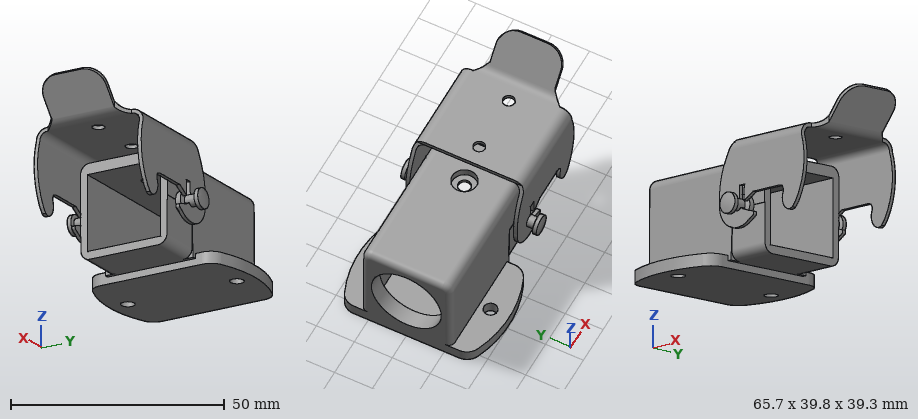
import cadquery as cq
import math


flange_length = 28.0
flange_width = 39.8
flange_thickness = 3.0
flange_side_radius = 30.05
flange_corner_radius = 4.0
flange_hole_offset_y = 14.9
flange_hole_diameter = 3.4

hood_length_bottom = 29.0
hood_length_axis = 29.45
housing_length = 40.4
housing_bottom = 1.8
housing_top = 25.75
hood_width_bottom = 24.0
hood_width_top = 23.7
plug_width_axis = 23.7
plug_width_bottom = 23.5
long_edge_radius = 2.4
front_edge_radius = 1.65
axis_height = (housing_bottom + housing_top) / 2

entry_diameter = 18.4
front_wall = 4.3
cavity_width = 20.0
cavity_bottom = 3.8
cavity_top = 23

screw_x = 29.45
screw_head_diameter = 6.4
screw_head_depth = 2
screw_hole_diameter = 3.3

sheet = 1.0
lever_top = 30.2
lever_half_width_top = 14.6
lever_half_width_bottom = 14.8
lever_bottom = 8.3
lever_bend_radius = 2.95
lever_rear = 55.85
lever_front_top = 32.1
lever_step_height = 16.1
front_edge_low = (30.2, 25.75)
front_edge_end = (28.0, 15.1)
pivot_end_bulge = (29.8, 10.05)
nose_start = (36.95, 8.9)
nose_lower = (39.4, 10.4)
nose_upper = (39.2, 11.45)
nose_tip_x = 39.7
notch_lower = (36.0, 12.4)
notch_upper = (36.35, 14.3)
notch_mouth_x = 39.5
hook_throat_x = 48.4
hook_throat_end = (49.8, 14.3)
hook_inside = (49.55, 12.0)
hook_tip_front = (50.9, 10.1)
hook_tip_rear = (53.0, 10.1)
hook_bottom = 9.8
hook_outside = (54.0, 11.4)
rear_edge_bulge = (56.7, 19.2)

lever_hole_diameter = 3.0
lever_hole_positions = (36.95, 51.9)

slit_width = 1.65
slit_right = 36.4
slit_top = 18.35

tab_end_x = 65.7
tab_end_z = 39.3
tab_angle = math.radians(50)
tab_bend_radius = 3.0
tab_width = 17.1
tab_root_width = 22.9
tab_taper_end = 58.8
tab_corner_radius = 5.0

pivot_x = 34.05
pin_radius = 1.5
boss_radius = 2.7
boss_end = 13.2
boss_taper_end = 13.6
head_radius = 2.55
head_start = 16.6
head_rim_start = 16.8
head_rim_end = 17.9
head_end = 18.2
head_underside_radius = 1.85


def box(x_min, x_max, width, z_min, z_max):
    """Block centred on Y = 0."""
    size = (x_max - x_min, width, z_max - z_min)
    return cq.Workplane("XY").box(*size, centered=(False, True, False)).translate((x_min, 0, z_min))


def vertical_cylinder(x, y, diameter, z_min, z_max):
    return cq.Workplane("XY", origin=(x, y, z_min)).circle(diameter / 2).extrude(z_max - z_min)


def make_flange():
    """Base plate with two bulged sides, rounded corners and a mounting hole on each side."""
    middle = flange_length / 2
    bulge = flange_side_radius - math.sqrt(flange_side_radius**2 - middle**2)
    half_width = flange_width / 2
    corner_y = half_width - bulge
    plate = (
        cq.Workplane("XY")
        .moveTo(0, -corner_y)
        .threePointArc((middle, -half_width), (flange_length, -corner_y))
        .lineTo(flange_length, corner_y)
        .threePointArc((middle, half_width), (0, corner_y))
        .close()
        .extrude(flange_thickness)
        .edges("|Z")
        .fillet(flange_corner_radius)
    )
    for side in (-1, 1):
        hole_y = side * flange_hole_offset_y
        plate = plate.cut(vertical_cylinder(middle, hole_y, flange_hole_diameter, 0, flange_thickness))
    return plate


def make_hood():
    """Tapered cover with a rounded top, cut away below the axis to leave room for the plug."""
    bottom = hood_width_bottom / 2
    top = hood_width_top / 2
    cover = (
        cq.Workplane("YZ")
        .polyline([
            (-bottom, housing_bottom),
            (bottom, housing_bottom),
            (top, housing_top),
            (-top, housing_top),
        ])
        .close()
        .extrude(housing_length)
        .edges("|X and >Z")
        .fillet(long_edge_radius)
        .faces("<X")
        .edges("not <Z")
        .fillet(front_edge_radius)
    )
    lower_rear = (
        cq.Workplane("XZ")
        .polyline([
            (hood_length_bottom, housing_bottom),
            (hood_length_axis, axis_height),
            (housing_length, axis_height),
            (housing_length, housing_bottom),
        ])
        .close()
        .extrude(hood_width_bottom / 2, both=True)
    )
    return cover.cut(lower_rear)


def make_plug():
    """Lower rear part of the housing, narrowing downwards and rounded along its bottom edges."""
    top = plug_width_axis / 2
    bottom = plug_width_bottom / 2
    return (
        cq.Workplane("YZ", origin=(front_wall, 0, 0))
        .polyline([
            (-bottom, housing_bottom),
            (bottom, housing_bottom),
            (top, axis_height),
            (-top, axis_height),
        ])
        .close()
        .extrude(housing_length - front_wall)
        .edges("|X and <Z")
        .fillet(long_edge_radius)
    )


def make_housing():
    """Flange, hood and plug, hollowed from the cable entry to the open rear."""
    housing = make_flange().union(make_hood()).union(make_plug())
    entry = (
        cq.Workplane("YZ")
        .center(0, axis_height)
        .circle(entry_diameter / 2)
        .extrude(housing_length)
    )
    cavity = box(front_wall, housing_length, cavity_width, cavity_bottom, cavity_top)
    screw_head = vertical_cylinder(
        screw_x, 0, screw_head_diameter, housing_top - screw_head_depth, housing_top
    )
    screw_hole = vertical_cylinder(screw_x, 0, screw_hole_diameter, axis_height, housing_top)
    return housing.cut(entry).cut(cavity).cut(screw_head).cut(screw_hole)


def lever_section(inset):
    """Channel section of the lever, shrunk by inset, running through the lever's length."""
    top = lever_half_width_top - inset
    bottom = lever_half_width_bottom - inset
    return (
        cq.Workplane("YZ")
        .polyline([
            (-bottom, lever_bottom),
            (bottom, lever_bottom),
            (top, lever_top - inset),
            (-top, lever_top - inset),
        ])
        .close()
        .extrude(tab_end_x)
        .edges("|X and >Z")
        .fillet(lever_bend_radius - inset)
    )


def make_lever_side():
    """Side outline of the lever: front edge, pivot end, notch, straight lower edge and rear hook."""
    pivot = (pivot_x, axis_height)
    nose_middle = (nose_tip_x, (nose_lower[1] + nose_upper[1]) / 2)
    hook_middle = ((hook_tip_front[0] + hook_tip_rear[0]) / 2, hook_bottom)
    return (
        cq.Workplane("XZ")
        .moveTo(lever_front_top, lever_top)
        .lineTo(lever_front_top, lever_top - sheet)
        .lineTo(*front_edge_low)
        .tangentArcPoint(front_edge_end, relative=False)
        .threePointArc(pivot_end_bulge, (pivot_x, lever_bottom))
        .tangentArcPoint(nose_start, relative=False)
        .lineTo(*nose_lower)
        .threePointArc(nose_middle, nose_upper)
        .lineTo(*notch_lower)
        .lineTo(*pivot)
        .lineTo(*notch_upper)
        .lineTo(notch_mouth_x, lever_step_height)
        .lineTo(hook_throat_x, lever_step_height)
        .tangentArcPoint(hook_throat_end, relative=False)
        .threePointArc(hook_inside, hook_tip_front)
        .threePointArc(hook_middle, hook_tip_rear)
        .lineTo(*hook_outside)
        .threePointArc(rear_edge_bulge, (lever_rear, lever_top - lever_bend_radius))
        .lineTo(lever_rear, lever_top)
        .close()
        .extrude(flange_width / 2, both=True)
    )


def make_tab():
    """Thumb tab at the rear of the lever, bent up from the top sheet."""
    along_x = math.cos(tab_angle)
    along_z = math.sin(tab_angle)
    upper_end = (tab_end_x - sheet * along_z, tab_end_z)
    lower_end = (tab_end_x, tab_end_z - sheet * along_x)
    centre_z = lever_top + tab_bend_radius
    slope_run = (upper_end[1] - lever_top) / math.tan(tab_angle)
    bend_start = upper_end[0] - slope_run - tab_bend_radius * math.tan(tab_angle / 2)

    def bend_point(radius, angle):
        return (bend_start + radius * math.sin(angle), centre_z - radius * math.cos(angle))

    outer_radius = tab_bend_radius + sheet
    strip = (
        cq.Workplane("XZ")
        .moveTo(lever_rear - sheet, lever_top)
        .lineTo(bend_start, lever_top)
        .threePointArc(
            bend_point(tab_bend_radius, tab_angle / 2), bend_point(tab_bend_radius, tab_angle)
        )
        .lineTo(*upper_end)
        .lineTo(*lower_end)
        .lineTo(*bend_point(outer_radius, tab_angle))
        .threePointArc(bend_point(outer_radius, tab_angle / 2), bend_point(outer_radius, 0))
        .lineTo(lever_rear - sheet, lever_top - sheet)
        .close()
        .extrude(tab_root_width / 2, both=True)
    )
    plan = (
        cq.Workplane("XY")
        .polyline([
            (lever_rear - sheet, -tab_root_width / 2),
            (lever_rear, -tab_root_width / 2),
            (tab_taper_end, -tab_width / 2),
            (tab_end_x, -tab_width / 2),
            (tab_end_x, tab_width / 2),
            (tab_taper_end, tab_width / 2),
            (lever_rear, tab_root_width / 2),
            (lever_rear - sheet, tab_root_width / 2),
        ])
        .close()
        .extrude(tab_end_z)
    )
    end_direction = cq.Vector(along_x, 0, along_z)
    end_face = cq.selectors.DirectionMinMaxSelector(end_direction)
    sheet_edges = cq.selectors.ParallelDirSelector(cq.Vector(-along_z, 0, along_x))
    return strip.intersect(plan).faces(end_face).edges(sheet_edges).fillet(tab_corner_radius)


def make_lever():
    """Bent sheet lever with a slit above the open pivot notch and two holes in its top."""
    lever = lever_section(0).cut(lever_section(sheet)).intersect(make_lever_side())
    pivot_hole = (
        cq.Workplane("XZ", origin=(pivot_x, 0, axis_height))
        .circle(pin_radius)
        .extrude(flange_width / 2, both=True)
    )
    slit = box(slit_right - slit_width, slit_right, flange_width, axis_height, slit_top)
    lever = lever.cut(pivot_hole).cut(slit).union(make_tab())
    for hole_x in lever_hole_positions:
        lever = lever.cut(vertical_cylinder(hole_x, 0, lever_hole_diameter, axis_height, lever_top))
    return lever


def make_pin():
    """Headed pivot pin with its boss, turned about the pivot axis and pointing towards +Y."""
    root = cavity_width / 2
    dome_height = head_end - head_rim_end
    dome_radius = (head_radius**2 + dome_height**2) / (2 * dome_height)
    dome_middle_x = head_radius / 2
    dome_middle_y = head_end - dome_radius + math.sqrt(dome_radius**2 - dome_middle_x**2)
    return (
        cq.Workplane("XY")
        .polyline([
            (0, root),
            (boss_radius, root),
            (boss_radius, boss_end),
            (pin_radius, boss_taper_end),
            (pin_radius, head_start),
            (head_underside_radius, head_start),
            (head_radius, head_rim_start),
            (head_radius, head_rim_end),
        ])
        .threePointArc((dome_middle_x, dome_middle_y), (0, head_end))
        .close()
        .revolve(360, (0, 0, 0), (0, 1, 0))
        .translate((pivot_x, 0, axis_height))
    )


pin = make_pin()
result = make_housing().union(make_lever()).union(pin).union(pin.mirror("XZ"))